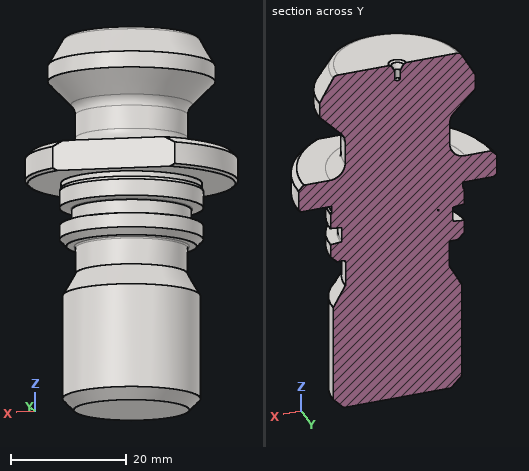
import cadquery as cq
import math

height = 65.55

head_radius = 29.1 / 2
head_angle = math.radians(30)
head_edge_radius = 1.0
head_band_top = 4.9
head_band_bottom = 7.75

neck_radius = 19.6 / 2
head_blend_radius = 2.55
flange_blend_radius = 2.75

flange_radius = 37.0 / 2
flange_flat_width = 30.0
flange_top = 20.4
flange_bottom = 25.6
flange_top_chamfer = 1.0
flange_bottom_chamfer = 0.45

relief_radius = 24.5 / 2
relief_bottom = 26.55
collar_radius = 25.0 / 2
collar_top = 27.1
groove_radius = 20.8 / 2
groove_top = 29.95
groove_bottom = 33.05
groove_wall_rise = 0.2
groove_root_fillet = 0.2
collar_bottom = 36.7
collar_chamfer = 1.2

waist_radius = 19.5 / 2
waist_fillet = 0.25
waist_bottom = 41.55
shank_radius = 24.0 / 2
shank_cone_angle = math.radians(30)
shank_chamfer = 1.95

pilot_diameter = 1.0
pilot_depth = 3.0
pilot_tip_angle = math.radians(59)
countersink_diameter = 2.15
countersink_angle = math.radians(30)
guard_diameter = 3.15
guard_angle = math.radians(60)


def level(depth):
    """Z position at a depth below the top face; the part stands on Z = 0."""
    return height - depth


def arc_point(centre_r, centre_depth, radius, angle):
    """Point on an arc; the angle is measured upward from the outward radial direction."""
    return (centre_r + radius * math.cos(angle), level(centre_depth) + radius * math.sin(angle))


def make_body():
    """Revolve the turned outline about Z."""
    edge_height = head_edge_radius * (1 - math.sin(head_angle))
    cone_top_radius = head_radius - (head_band_top - edge_height) * math.tan(head_angle)
    edge_centre = cone_top_radius - head_edge_radius * math.cos(head_angle)
    edge_mid_angle = (head_angle + math.pi / 2) / 2

    cone_end_radius = neck_radius + head_blend_radius * (1 - math.cos(math.pi / 4))
    cone_end = head_band_bottom + head_radius - cone_end_radius
    head_blend_end = cone_end + head_blend_radius * math.sin(math.pi / 4)
    head_blend_centre = neck_radius + head_blend_radius

    flange_blend_start = flange_top - flange_blend_radius
    flange_blend_centre = neck_radius + flange_blend_radius

    waist_top = collar_bottom + waist_fillet
    waist_fillet_centre = waist_radius + waist_fillet
    shank_top = waist_bottom + (shank_radius - waist_radius) / math.tan(shank_cone_angle)

    outline = (
        cq.Workplane("XZ")
        .moveTo(0, height)
        .lineTo(edge_centre, height)
        .threePointArc(
            arc_point(edge_centre, head_edge_radius, head_edge_radius, edge_mid_angle),
            (cone_top_radius, level(edge_height)),
        )
        .lineTo(head_radius, level(head_band_top))
        .lineTo(head_radius, level(head_band_bottom))
        .lineTo(cone_end_radius, level(cone_end))
        .threePointArc(
            arc_point(head_blend_centre, head_blend_end, head_blend_radius, math.pi * 7 / 8),
            (neck_radius, level(head_blend_end)),
        )
        .lineTo(neck_radius, level(flange_blend_start))
        .threePointArc(
            arc_point(flange_blend_centre, flange_blend_start, flange_blend_radius, math.pi * 5 / 4),
            (flange_blend_centre, level(flange_top)),
        )
        .lineTo(flange_radius - flange_top_chamfer, level(flange_top))
        .lineTo(flange_radius, level(flange_top + flange_top_chamfer))
        .lineTo(flange_radius, level(flange_bottom - flange_bottom_chamfer))
        .lineTo(flange_radius - flange_bottom_chamfer, level(flange_bottom))
        .lineTo(relief_radius, level(flange_bottom))
        .lineTo(relief_radius, level(relief_bottom))
        .lineTo(collar_radius, level(collar_top))
        .lineTo(collar_radius, level(groove_top))
        .lineTo(groove_radius, level(groove_top + groove_wall_rise))
        .lineTo(groove_radius, level(groove_bottom - groove_wall_rise))
        .lineTo(collar_radius, level(groove_bottom))
        .lineTo(collar_radius, level(collar_bottom - collar_chamfer))
        .lineTo(collar_radius - collar_chamfer, level(collar_bottom))
        .lineTo(waist_fillet_centre, level(collar_bottom))
        .threePointArc(
            arc_point(waist_fillet_centre, waist_top, waist_fillet, math.pi * 3 / 4),
            (waist_radius, level(waist_top)),
        )
        .lineTo(waist_radius, level(waist_bottom))
        .lineTo(shank_radius, level(shank_top))
        .lineTo(shank_radius, shank_chamfer)
        .lineTo(shank_radius - shank_chamfer, 0)
        .lineTo(0, 0)
        .close()
    )
    body = outline.revolve(360, (0, 0, 0), (0, 1, 0))

    groove_zone = cq.selectors.BoxSelector(
        (-relief_radius, -relief_radius, level(groove_bottom) + groove_wall_rise / 2),
        (relief_radius, relief_radius, level(groove_top) - groove_wall_rise / 2),
        boundingbox=True,
    )
    return body.edges("%CIRCLE").edges(groove_zone).fillet(groove_root_fillet)


def make_centre_hole():
    """Guard chamfer, 60 degree countersink and pointed pilot hole."""
    guard_r = guard_diameter / 2
    countersink_r = countersink_diameter / 2
    pilot_r = pilot_diameter / 2
    guard_depth = (guard_r - countersink_r) / math.tan(guard_angle)
    countersink_depth = guard_depth + (countersink_r - pilot_r) / math.tan(countersink_angle)
    tip_depth = pilot_depth + pilot_r / math.tan(pilot_tip_angle)
    outline = (
        cq.Workplane("XZ")
        .moveTo(0, height)
        .lineTo(guard_r, height)
        .lineTo(countersink_r, level(guard_depth))
        .lineTo(pilot_r, level(countersink_depth))
        .lineTo(pilot_r, level(pilot_depth))
        .lineTo(0, level(tip_depth))
        .close()
    )
    return outline.revolve(360, (0, 0, 0), (0, 1, 0))


flat_slab = cq.Workplane("XY").box(
    2 * flange_radius, flange_flat_width, height, centered=(True, True, False)
)

result = make_body().intersect(flat_slab).cut(make_centre_hole())